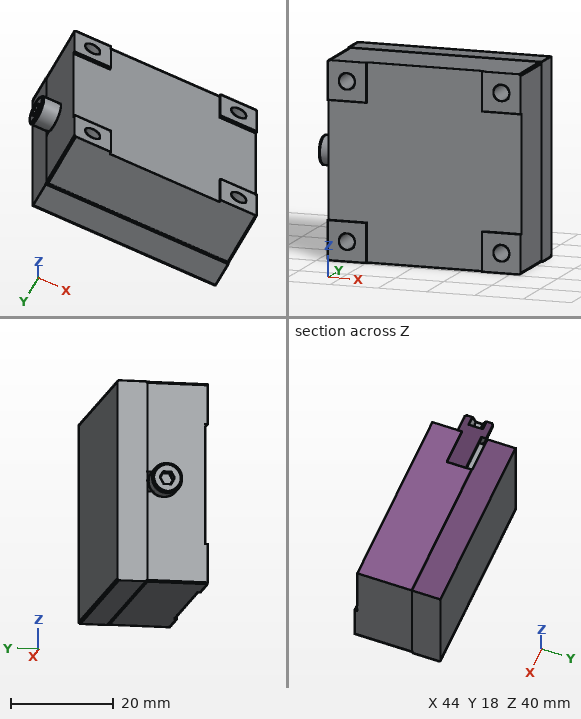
import cadquery as cq
import math

overall_length = 44
block_side = 40.0
base_depth = 12.0
lid_depth = 6.0
edge_chamfer = 0.3

pad_side = block_side / 5
pad_height = 0.5
pad_hole_diameter = 3.3

head_diameter = 6.0
head_length = overall_length - block_side
head_chamfer = 0.35
shank_diameter = 4.0
shank_length = 2 * shank_diameter
socket_flats = 2.5
socket_depth = 2.0
screw_to_lid = 3.2

left_face = -block_side / 2
base_front = -base_depth
screw_axis = -screw_to_lid
head_end = left_face - head_length
pad_center = block_side / 2 - pad_side / 2
pad_gap = block_side - 2 * pad_side


def square_block(back, depth):
    """Square plate from Y = back, extending depth towards -Y."""
    return cq.Workplane("XZ", origin=(0, back, 0)).rect(block_side, block_side).extrude(depth)


def rod(start, length, diameter):
    """Cylinder on the screw axis, from X = start towards +X."""
    return cq.Workplane("YZ", origin=(start, screw_axis, 0)).circle(diameter / 2).extrude(length)


def relief_strip(width, height):
    """Strip removed from the front of the base to leave the pads standing."""
    return cq.Workplane("XZ", origin=(0, base_front + pad_height, 0)).rect(width, height).extrude(pad_height)


def screw_slot():
    """Round-bottomed slot for the shank, open towards the lid."""
    open_side = cq.Workplane("XY").box(
        shank_length, screw_to_lid, shank_diameter, centered=(False, False, True)
    ).translate((left_face, screw_axis, 0))
    return rod(left_face, shank_length, shank_diameter).union(open_side)


def make_base():
    base = square_block(0, base_depth).edges("|Y").chamfer(edge_chamfer)

    base = base.cut(relief_strip(pad_gap, block_side))
    base = base.cut(relief_strip(block_side, pad_gap))

    pad_holes = (
        cq.Workplane("XZ")
        .rect(2 * pad_center, 2 * pad_center, forConstruction=True)
        .vertices()
        .circle(pad_hole_diameter / 2)
        .extrude(base_depth)
    )
    return base.cut(pad_holes).cut(screw_slot())


def make_lid():
    return square_block(lid_depth, lid_depth).edges("|X").chamfer(edge_chamfer)


def make_screw():
    head = rod(head_end, head_length, head_diameter).faces("<X").chamfer(head_chamfer)
    socket_corners = socket_flats / math.cos(math.pi / 6)
    socket = (
        cq.Workplane("YZ", origin=(head_end, screw_axis, 0))
        .polygon(6, socket_corners)
        .extrude(socket_depth)
    )
    return head.cut(socket).union(rod(left_face, shank_length, shank_diameter))


base = make_base()
lid = make_lid()
screw = make_screw()

result = cq.Compound.makeCompound([base.val(), lid.val(), screw.val()])